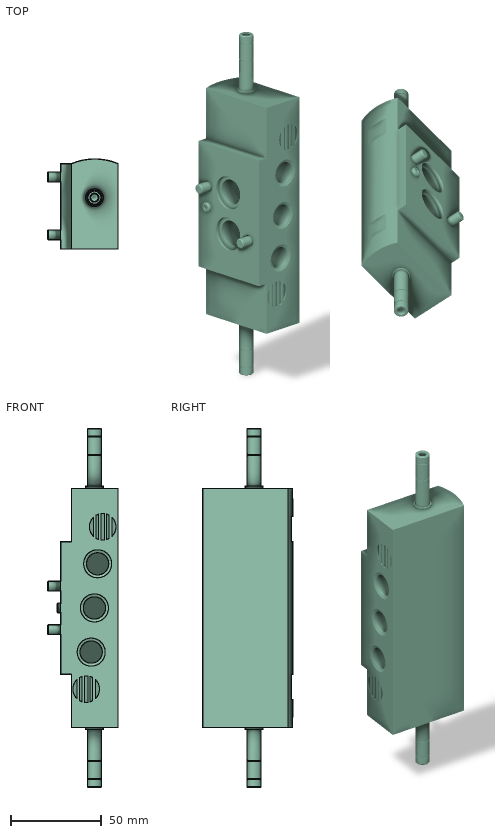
import cadquery as cq
import math


block_half_height = 36.7
cap_half_height = 66.0
block_left = -18.6
cap_left = -12.7
right_side = 13.0
front_side = -28.3
dome_top = 21.5
dome_rise = 2.5
shoulder = dome_top - dome_rise

dip_height = 13.9
dip_depth = 0.5

overall_half_height = 99.1
tube_diameter = 8.0
collar_diameter = 10.0
collar_inner_diameter = 8.5
collar_height = 1.2
groove_floor_diameter = 7.1
groove_width = 0.5
groove_distances = (4.5, 14.7)
tube_edge_chamfer = 0.4
bore_diameter = 4.2
bore_mouth_diameter = 5.0
bore_depth = 3.0
drill_tip_angle = 118

port_diameter = 12.3
port_mouth_diameter = 15.5
port_mouth_depth = 0.8
port_depth = 19.8
port_pitch = 24.4
port_shift = 1.8

interface_y = -4.5
interface_pitch = 24.0
interface_bore = 14.5
interface_bore_depth = 11.0
seal_diameter = 19.0
seal_depth = 2.0

vent_radius = 7.3
vent_x = 4.5
vent_z = 44.8
vent_depth = 1.0
vent_bars = ((1.0, 2.2), (3.5, 5.2))

pin_diameter = 5.5
pin_tip_diameter = 4.5
pin_pitch_y = 32.0
pin_offset = pin_pitch_y / 2
screw_tip = -26.0
locating_pin_tip = -20.6
relief_diameter = 6.3
relief_depth = 4.0
socket_diameter = 2.8
socket_depth = 1.2
screw_places = [
    (interface_y + side * pin_offset, side * interface_pitch / 2) for side in (-1, 1)
]


def x_cylinder(diameter, start, length, y, z):
    """Cylinder along +X that starts at x = start."""
    return cq.Workplane("YZ", origin=(start, y, z)).circle(diameter / 2).extrude(length)


def domed_column():
    middle = (cap_left + right_side) / 2
    return (
        cq.Workplane("XY", origin=(0, 0, -cap_half_height))
        .moveTo(cap_left, front_side)
        .lineTo(right_side, front_side)
        .lineTo(right_side, shoulder)
        .threePointArc((middle, dome_top), (cap_left, shoulder))
        .close()
        .extrude(2 * cap_half_height)
    )


def interface_slab():
    thickness = cap_left - block_left
    depth = shoulder - front_side
    slab = cq.Workplane("XY").box(thickness, depth, 2 * block_half_height, centered=(False, False, True))
    return slab.translate((block_left, front_side, 0))


def dome_dip(end):
    """Cutter across the dome; end is 1 for the upper cap and -1 for the lower."""
    dip = cq.Workplane("XY").box(2 * (right_side - cap_left), 2 * dip_depth, dip_height)
    return dip.translate((0, dome_top, end * (block_half_height + dip_height / 2)))


def upper_tube():
    top = overall_half_height
    tube = (
        cq.Workplane("XY", origin=(0, 0, cap_half_height))
        .circle(tube_diameter / 2)
        .extrude(top - cap_half_height)
        .faces(">Z")
        .chamfer(tube_edge_chamfer)
    )
    for distance in groove_distances:
        groove = (
            cq.Workplane("XY", origin=(0, 0, top - distance - groove_width / 2))
            .circle(tube_diameter / 2)
            .circle(groove_floor_diameter / 2)
            .extrude(groove_width)
        )
        tube = tube.cut(groove)
    bore_r = bore_diameter / 2
    mouth_r = bore_mouth_diameter / 2
    tip_height = bore_r / math.tan(math.radians(drill_tip_angle / 2))
    outline = [
        (0, top),
        (mouth_r, top),
        (bore_r, top - (mouth_r - bore_r)),
        (bore_r, top - bore_depth),
        (0, top - bore_depth - tip_height),
    ]
    bore = cq.Workplane("XZ").polyline(outline).close().revolve(360, (0, 0), (0, 1))
    return tube.cut(bore)


def upper_collar():
    return (
        cq.Workplane("XY", origin=(0, 0, cap_half_height))
        .circle(collar_diameter / 2)
        .circle(collar_inner_diameter / 2)
        .extrude(collar_height)
    )


def front_port(x, z):
    r = port_diameter / 2
    mouth_r = port_mouth_diameter / 2
    outline = [(0, 0), (mouth_r, 0), (r, port_mouth_depth), (r, port_depth), (0, port_depth)]
    port = cq.Workplane("XY").polyline(outline).close().revolve(360, (0, 0), (0, 1))
    return port.translate((x, front_side, z))


def interface_port(z):
    bore = x_cylinder(interface_bore, block_left, interface_bore_depth, interface_y, z)
    return bore.union(x_cylinder(seal_diameter, block_left, seal_depth, interface_y, z))


def vent(x, z):
    """Round recess that leaves four upright bars standing."""
    recess = cq.Workplane("XZ", origin=(x, front_side, z)).circle(vent_radius).extrude(-vent_depth)
    for inner, outer in vent_bars:
        for side in (-1, 1):
            bar = cq.Workplane("XY").box(outer - inner, vent_depth, 2 * vent_radius)
            bar_x = x + side * (inner + outer) / 2
            recess = recess.cut(bar.translate((bar_x, front_side + vent_depth / 2, z)))
    return recess


def stud(tip, foot, y, z):
    """Round stud with a chamfered tip, pointing to -X."""
    tip_chamfer = (pin_diameter - pin_tip_diameter) / 2
    return x_cylinder(pin_diameter, tip, foot - tip, y, z).faces("<X").chamfer(tip_chamfer)


def make_screw(y, z):
    return stud(screw_tip, block_left + relief_depth, y, z)


def make_locating_pin():
    y = interface_y + pin_offset
    socket = x_cylinder(socket_diameter, locating_pin_tip, socket_depth, y, 0)
    return stud(locating_pin_tip, block_left, y, 0).cut(socket)


def make_housing():
    body = domed_column().union(interface_slab())
    for end in (1, -1):
        body = body.cut(dome_dip(end))
    for fitting in (upper_collar(), upper_tube()):
        body = body.union(fitting).union(fitting.mirror("XY"))
    for step in (-1, 0, 1):
        body = body.cut(front_port(step * port_shift, step * port_pitch))
    for side in (-1, 1):
        body = body.cut(interface_port(side * interface_pitch / 2))
        body = body.cut(vent(side * vent_x, side * vent_z))
    for y, z in screw_places:
        body = body.cut(x_cylinder(relief_diameter, block_left, relief_depth, y, z))
    return body


housing = make_housing()
screws = [make_screw(y, z) for y, z in screw_places]
locating_pin = make_locating_pin()

result = cq.Compound.makeCompound([housing.val(), *[screw.val() for screw in screws], locating_pin.val()])